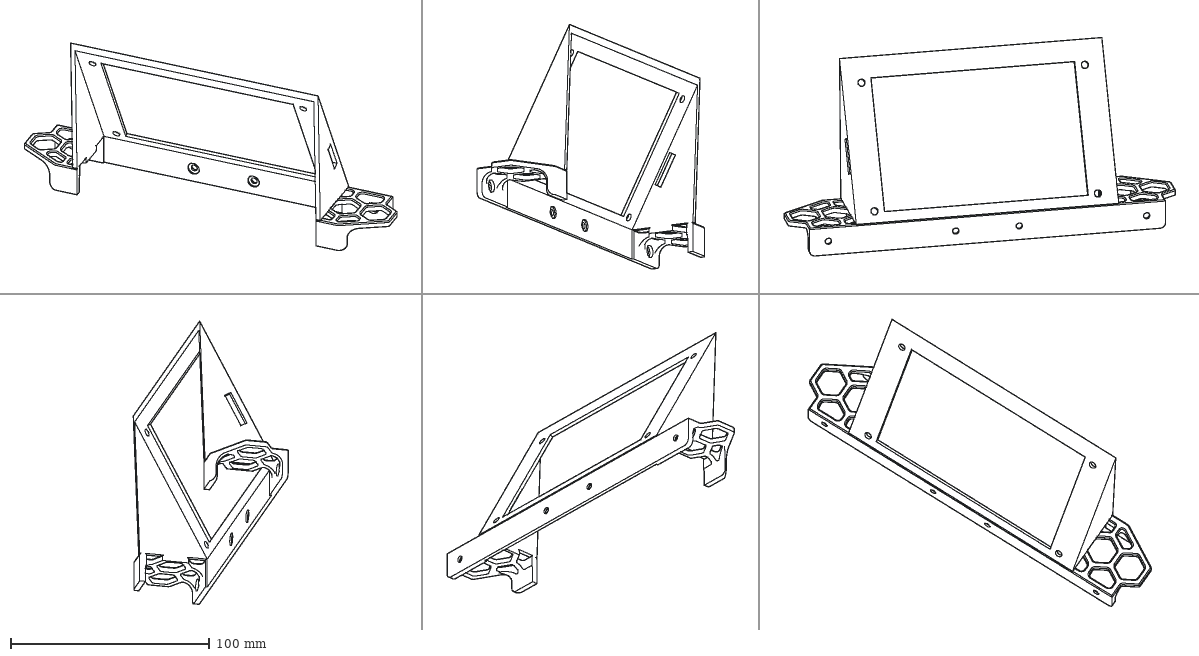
import cadquery as cq
import math

rail_length = 200.0
rail_depth = 37.2
rail_height = 15.2
plate_thickness = 3.0
leg_thickness = 3.0
inner_radius = 5.5
edge_chamfer = 0.5
back_half_length = 92.0
front_leg_half_length = 81.5
leg_corner_radius = 3.0
outline_radius = 1.5
wing_half_width = 9.7

cell_width = 13.5
cell_pitch = 16.5
cell_radius = 2.0
low_cell_radius = 1.0
cell_positions = ((0, 0), (2, 0), (1, 1), (3, 1), (1, -1), (3, -1))
slant_margin = 3.2
low_cell_margin = 3.5
low_cell_end = 85.0

screw_columns = (16.5, 82.2)
screw_depth = 7.8
screw_diameter = 3.2
screw_head_diameter = 6.2
screw_seat = 1.2

frame_width = 135.5
total_height = 90.0
cheek_thickness = 2.5
tip_overhang = 2.8
panel_thickness = 1.8
window_width = 105.2
window_length = 68.2
window_start = 5.5
mount_spacing_x = 115.5
mount_spacing_slope = 65.5
mount_shift = -0.8
mount_diameter = 3.5

slot_start = 26.5
slot_length = 17.8
slot_gap = 3.2
slot_width = 3.5

half_length = rail_length / 2
mid_y = -rail_depth / 2
cos30 = math.cos(math.radians(30))
tan30 = math.tan(math.radians(30))
row_pitch = cell_pitch * cos30
first_cell_x = half_length - wing_half_width
wing_half_edge = wing_half_width * tan30
shoulder_x = half_length - (rail_depth / 2 - wing_half_edge) / tan30
frame_height = total_height - rail_height
slope_angle = math.atan2(rail_depth + tip_overhang, frame_height)
sin_slope = math.sin(slope_angle)
cos_slope = math.cos(slope_angle)
inner_half_width = frame_width / 2 - cheek_thickness
panel_foot = panel_thickness / cos_slope


def box(x0, x1, y0, y1, z0, z1):
    """Axis-aligned block between two opposite corners."""
    block = cq.Workplane("XY").box(x1 - x0, y1 - y0, z1 - z0, centered=False)
    return block.translate((x0, y0, z0))


def side_profile(points, x0, x1):
    """Outline in Y and Z, extruded along X from x0 to x1."""
    return cq.Workplane("YZ", origin=(x0, 0, 0)).polyline(points).close().extrude(x1 - x0)


def slope_point(along, below):
    """(y, z) of a point measured up the screen slope and square below its outer face."""
    y = -along * sin_slope - below * cos_slope
    z = along * cos_slope - below * sin_slope
    return y, z


def rail_outline():
    """Plan of the rail, extruded over its height: two pointed wings on a straight middle."""
    notch_y = mid_y + wing_half_edge + (half_length - back_half_length) * tan30
    right = [
        (back_half_length, 0),
        (back_half_length, notch_y),
        (half_length, mid_y + wing_half_edge),
        (half_length, mid_y - wing_half_edge),
        (shoulder_x, -rail_depth),
    ]
    left = [(-x, y) for x, y in reversed(right)]
    prism = cq.Workplane("XY").polyline(right + left).close().extrude(-rail_height)
    return prism.edges("|Z and (not >Y)").fillet(outline_radius)


def rail_body():
    """Plate with a full-length back leg and a shorter front leg, rounded inside."""
    back_y = -leg_thickness
    front_y = leg_thickness - rail_depth
    body = box(-half_length, half_length, -rail_depth, 0, -plate_thickness, 0)
    body = body.union(box(-half_length, half_length, back_y, 0, -rail_height, 0))
    front_leg = box(-front_leg_half_length, front_leg_half_length, -rail_depth, front_y, -rail_height, 0)
    body = body.union(front_leg.faces("<Z").edges("|Y").fillet(leg_corner_radius))
    front_leg_middle = leg_thickness / 2 - rail_depth
    seam_middles = (
        (0, back_y),
        (0, front_y),
        (front_leg_half_length, front_leg_middle),
        (-front_leg_half_length, front_leg_middle),
    )
    seams = []
    for x, y in seam_middles:
        nearest = cq.NearestToPointSelector((x, y, -plate_thickness))
        seams += body.edges(nearest).vals()
    body = body.newObject(seams).fillet(inner_radius)
    body = body.intersect(rail_outline())
    return body.edges("|Y and <Z").edges("<X or >X").fillet(leg_corner_radius)


def honeycomb_cell(column, row):
    """One rounded cell, trimmed so that it leaves the legs and the slanted edge whole."""
    x = first_cell_x - column * cell_pitch / 2
    hexagon = cq.Workplane("XY").polygon(6, cell_width / cos30).extrude(-rail_height)
    hexagon = hexagon.rotate((0, 0, 0), (0, 0, 1), 30).translate((x, mid_y + row * row_pitch, 0))
    front_y = low_cell_margin - rail_depth
    slant_y = slant_margin / cos30 - rail_depth
    slant_start = shoulder_x + (front_y - slant_y) / tan30
    limit = [
        (0, -leg_thickness),
        (0, front_y),
        (slant_start, front_y),
        (low_cell_end, slant_y + (low_cell_end - shoulder_x) * tan30),
        (low_cell_end, mid_y - cell_width / 2),
        (half_length, mid_y - cell_width / 2),
        (half_length, -leg_thickness),
    ]
    if row == 0:
        return hexagon.edges("|Z").fillet(cell_radius)
    allowed = cq.Workplane("XY").polyline(limit).close().extrude(-rail_height)
    radius = low_cell_radius if row < 0 else cell_radius
    return hexagon.intersect(allowed).edges("|Z").fillet(radius)


def screw_hole(x):
    """Counterbored screw hole through the back leg, its head on the inner side."""
    hole = cq.Workplane("XZ", origin=(x, 0, -screw_depth)).circle(screw_diameter / 2).extrude(leg_thickness)
    head = cq.Workplane("XZ", origin=(x, -screw_seat, -screw_depth))
    return hole.union(head.circle(screw_head_diameter / 2).extrude(rail_depth / 2))


def screen_frame():
    """Wedge standing on the rail: two cheeks closed by the sloped screen panel."""
    tip = (-rail_depth - tip_overhang, frame_height)
    wedge = [(0, 0), (-rail_depth, 0), tip]
    return side_profile(wedge, -frame_width / 2, frame_width / 2)


def frame_opening():
    """Space between the cheeks, below the panel and in front of the back wall."""
    past_tip = slope_point(frame_height / cos_slope + tip_overhang, panel_thickness)
    room = [
        (-panel_foot, -rail_height),
        (-panel_foot, 0),
        past_tip,
        (past_tip[0] - rail_depth, past_tip[1]),
        (past_tip[0] - rail_depth, -rail_height),
    ]
    return side_profile(room, -inner_half_width, inner_half_width)


def panel_cutouts():
    """Screen window and its four mounting holes, square to the panel."""
    centre = slope_point(window_start + window_length / 2, 0)
    plane = cq.Plane(origin=(0, *centre), xDir=(-1, 0, 0), normal=(0, cos_slope, sin_slope))
    window = cq.Workplane(plane).rect(window_width, window_length).extrude(-2 * panel_thickness)
    corners = cq.Workplane(plane).center(0, mount_shift)
    corners = corners.rect(mount_spacing_x, mount_spacing_slope, forConstruction=True).vertices()
    return window.union(corners.circle(mount_diameter / 2).extrude(-2 * panel_thickness))


def card_slot():
    """Slot through the right-hand cheek, parallel to the panel."""
    near, far = slot_start, slot_start + slot_length
    top, bottom = slot_gap, slot_gap + slot_width
    corners = [
        slope_point(near, top),
        slope_point(far, top),
        slope_point(far, bottom),
        slope_point(near, bottom),
    ]
    return side_profile(corners, inner_half_width, frame_width / 2)


rail = rail_body()
for column, row in cell_positions:
    pocket = honeycomb_cell(column, row)
    rail = rail.cut(pocket).cut(pocket.mirror("YZ"))
rail = rail.faces(">Z").edges().chamfer(edge_chamfer)

result = rail.union(screen_frame()).cut(frame_opening())
for x in screw_columns:
    result = result.cut(screw_hole(x)).cut(screw_hole(-x))
result = result.cut(panel_cutouts()).cut(card_slot())